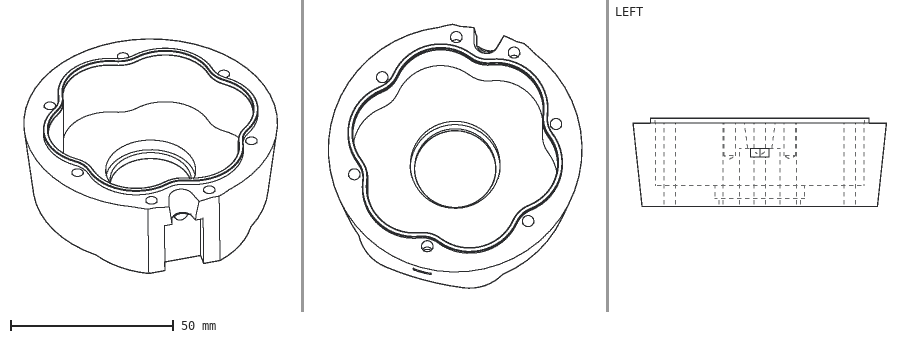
import cadquery as cq
import math

body_height = 25.65
top_radius = 39
bottom_radius = 36.2

lobe_count = 6
lobe_distance = 17.7
lobe_radius = 14.35
blend_radius = 9.35
cavity_floor = 6.5
lip_height = 1.6
lip_inner_offset = 0.15
lip_outer_offset = 1.55
lip_chamfer = 0.195

bore_radius = 12.5
counterbore_radius = 13.8
bore_ledge_height = 2.5

screw_hole_diameter = 3.5
screw_hole_radius = screw_hole_diameter / 2
screw_circle_radius = 31.95
blind_hole_circle_radius = 35.55
blind_hole_angle = 15
blind_hole_depth = 10.0
drill_point_angle = 118

nut_across_flats = 5.6
nut_pocket_bottom = 15.2
nut_pocket_height = 2.65

foot_half_width = 24.55
foot_face_radius = 89.6
foot_corner_radius = 14

pad_flat_bottom = 39
pad_lean = 1.0
pad_flank_radius = 27.8
pad_flank_centre = 13.6

notch_half_angle = 15
notch_mouth = 46.8
notch_top_centre = 35.4
notch_top_radius = 3.75
notch_low_centre = 36.95
notch_low_radius = 3.3
notch_depth = 7.8
notch_ledge = 0.5
notch_toe_run = 3.3
notch_toe_shift = 1.9
recess_half_width = 6.15
recess_back = 35.15


def lobed_outline(offset, z):
    """Closed lobed outline at height z, grown outwards by offset."""
    lobe = lobe_radius + offset
    blend = blend_radius - offset
    half_pitch = math.pi / lobe_count
    reach = lobe + blend
    half_gap = lobe_distance * math.sin(half_pitch)
    blend_centre = lobe_distance * math.cos(half_pitch) + math.sqrt(reach**2 - half_gap**2)
    valley = blend_centre - blend
    share = lobe / reach
    joint_x = lobe_distance * math.cos(half_pitch) * (1 - share) + blend_centre * share
    joint_y = half_gap * (1 - share)
    joint_radius = math.hypot(joint_x, joint_y)
    joint_angle = math.atan2(joint_y, joint_x)

    def polar(radius, angle):
        return (radius * math.cos(angle), radius * math.sin(angle))

    outline = cq.Workplane("XY").workplane(offset=z).moveTo(*polar(joint_radius, joint_angle))
    for index in range(lobe_count):
        ridge = 2 * half_pitch * index
        next_ridge = ridge + 2 * half_pitch
        crest = polar(lobe_distance + lobe, ridge + half_pitch)
        outline = outline.threePointArc(crest, polar(joint_radius, next_ridge - joint_angle))
        outline = outline.threePointArc(
            polar(valley, next_ridge), polar(joint_radius, next_ridge + joint_angle)
        )
    return outline.close()


def round_body():
    profile = [(0, 0), (bottom_radius, 0), (top_radius, body_height), (0, body_height)]
    return cq.Workplane("XZ").polyline(profile).close().revolve(360, (0, 0), (0, 1))


def foot():
    blank = (
        cq.Workplane("XY")
        .box(bottom_radius, 2 * foot_half_width, body_height, centered=(False, True, False))
        .translate((-bottom_radius, 0, 0))
    )
    bow = (
        cq.Workplane("XY")
        .center(foot_face_radius - bottom_radius, 0)
        .circle(foot_face_radius)
        .extrude(body_height)
    )
    return blank.intersect(bow).edges("|Z and (not >X)").fillet(foot_corner_radius)


def pad_outline(z):
    lean = pad_lean * z / body_height
    flat_x = pad_flat_bottom - lean
    centre_x = pad_flank_centre - lean
    corner_angle = math.acos((flat_x - centre_x) / pad_flank_radius)
    corner_y = pad_flank_radius * math.sin(corner_angle)
    middle_angle = (corner_angle + math.pi / 2) / 2
    middle_x = centre_x + pad_flank_radius * math.cos(middle_angle)
    middle_y = pad_flank_radius * math.sin(middle_angle)
    outline = (
        cq.Workplane("XY")
        .workplane(offset=z)
        .moveTo(flat_x, -corner_y)
        .lineTo(flat_x, corner_y)
        .threePointArc((middle_x, middle_y), (centre_x, pad_flank_radius))
        .lineTo(centre_x, -pad_flank_radius)
        .threePointArc((middle_x, -middle_y), (flat_x, -corner_y))
        .close()
    )
    return outline.val()


def loft_between(lower_wire, upper_wire):
    return cq.Workplane(cq.Solid.makeLoft([lower_wire, upper_wire], True))


def pad():
    return loft_between(pad_outline(0), pad_outline(body_height))


def lip():
    ring = lobed_outline(lip_outer_offset, body_height).extrude(lip_height)
    ring = ring.cut(lobed_outline(lip_inner_offset, body_height).extrude(lip_height))
    return ring.faces(">Z").chamfer(lip_chamfer)


def bore():
    through = cq.Workplane("XY").circle(bore_radius).extrude(body_height)
    counterbore = (
        cq.Workplane("XY")
        .workplane(offset=bore_ledge_height)
        .circle(counterbore_radius)
        .extrude(body_height)
    )
    return through.union(counterbore)


def through_screw_holes():
    """One hole behind each ridge between lobes, except at +X where the notch is."""
    pitch = 360 / lobe_count
    return (
        cq.Workplane("XY")
        .polarArray(screw_circle_radius, pitch, 360 - 2 * pitch, lobe_count - 1)
        .circle(screw_hole_radius)
        .extrude(body_height)
    )


def blind_screw_holes():
    tip = screw_hole_radius / math.tan(math.radians(drill_point_angle / 2))
    profile = [
        (0, body_height),
        (screw_hole_radius, body_height),
        (screw_hole_radius, body_height - blind_hole_depth),
        (0, body_height - blind_hole_depth - tip),
    ]
    drill = cq.Workplane("XZ").polyline(profile).close().revolve(360, (0, 0), (0, 1))
    drill = drill.translate((blind_hole_circle_radius, 0, 0))
    left = drill.rotate((0, 0, 0), (0, 0, 1), blind_hole_angle)
    right = drill.rotate((0, 0, 0), (0, 0, 1), -blind_hole_angle)
    return left.union(right)


def nut_pocket():
    """Hexagon around the -X screw hole, opened straight out to the side."""
    plane = cq.Workplane("XY").workplane(offset=nut_pocket_bottom).center(-screw_circle_radius, 0)
    across_corners = nut_across_flats / math.cos(math.pi / 6)
    nut = plane.polygon(6, across_corners).extrude(nut_pocket_height)
    run = top_radius - screw_circle_radius
    entry = plane.center(-run / 2, 0).rect(run, nut_across_flats).extrude(nut_pocket_height)
    return nut.union(entry)


def notch_outline(centre_x, radius, z):
    """Round end towards the axis, with mouth walls opening towards +X."""
    angle = math.radians(notch_half_angle)
    tangent_x = centre_x - radius * math.sin(angle)
    tangent_y = radius * math.cos(angle)
    mouth_y = tangent_y + (notch_mouth - tangent_x) * math.tan(angle)
    outline = (
        cq.Workplane("XY")
        .workplane(offset=z)
        .moveTo(notch_mouth, mouth_y)
        .lineTo(tangent_x, tangent_y)
        .threePointArc((centre_x - radius, 0), (tangent_x, -tangent_y))
        .lineTo(notch_mouth, -mouth_y)
        .close()
    )
    return outline.val()


def cable_notch():
    ledge_z = body_height - notch_depth
    toe_z = ledge_z - notch_toe_run
    toe_radius = notch_low_radius - notch_ledge
    funnel = loft_between(
        notch_outline(notch_low_centre, notch_low_radius, ledge_z),
        notch_outline(notch_top_centre, notch_top_radius, body_height),
    )
    toe = loft_between(
        notch_outline(notch_low_centre + notch_toe_shift, toe_radius, toe_z),
        notch_outline(notch_low_centre, toe_radius, ledge_z),
    )
    recess = (
        cq.Workplane("XY")
        .box(notch_mouth - recess_back, 2 * recess_half_width, ledge_z, centered=(False, True, False))
        .translate((recess_back, 0, 0))
    )
    return funnel.union(toe).union(recess)


cavity = lobed_outline(0, cavity_floor).extrude(body_height - cavity_floor)

result = round_body().union(foot()).union(pad()).cut(cavity).union(lip())
for opening in (bore(), through_screw_holes(), blind_screw_holes(), nut_pocket(), cable_notch()):
    result = result.cut(opening)